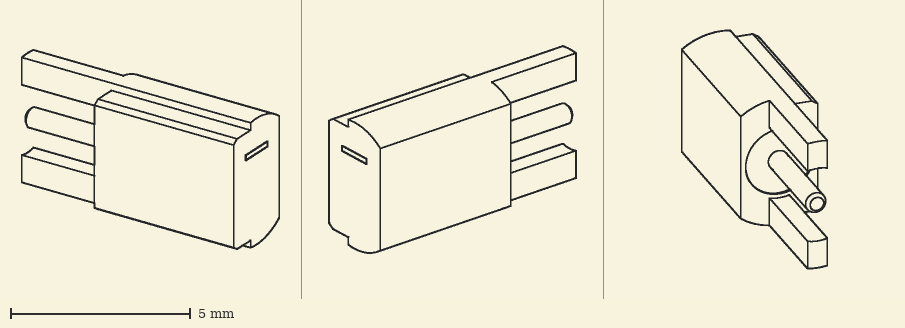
import cadquery as cq
import math


body_length = 4.65
body_depth = 2.3
body_radius = 1.95
front_height = 3.4
chamfer_depth = 0.18
chamfer_height = 0.12

recess_radius = 1.0
recess_depth = 0.07

tail_length = 3.0
tail_width = 0.59
tail_inner_radius = 1.12

pin_radius = 0.3
pin_chamfer = 0.1
pin_setback = 0.05

strip_width = 1.1
strip_height = 0.16
strip_thickness = 0.02
strip_center_y = 0.0
strip_center_z = 0.95

half_depth = body_depth / 2
half_front = front_height / 2
half_tail = tail_width / 2


def height_on_circle(radius, y):
    """Height above the pin axis of a circle of this radius at the given Y."""
    return math.sqrt(radius**2 - y**2)


def make_body():
    back_edge = height_on_circle(body_radius, half_depth)
    step_edge = height_on_circle(body_radius, half_tail)
    chamfer_start = half_depth - chamfer_depth
    chamfer_end = half_front - chamfer_height
    return (
        cq.Workplane("YZ")
        .moveTo(half_depth, -back_edge)
        .lineTo(half_depth, back_edge)
        .threePointArc((0, body_radius), (-half_tail, step_edge))
        .lineTo(-half_tail, half_front)
        .lineTo(-chamfer_start, half_front)
        .lineTo(-half_depth, chamfer_end)
        .lineTo(-half_depth, -chamfer_end)
        .lineTo(-chamfer_start, -half_front)
        .lineTo(-half_tail, -half_front)
        .lineTo(-half_tail, -step_edge)
        .threePointArc((0, -body_radius), (half_depth, -back_edge))
        .close()
        .extrude(body_length)
    )


def make_recess():
    return cq.Workplane("YZ").circle(recess_radius).extrude(recess_depth)


def make_tail(side):
    """Tail above (side = 1) or below (side = -1) the pin, curved inside and outside."""
    inner_edge = side * height_on_circle(tail_inner_radius, half_tail)
    outer_edge = side * height_on_circle(body_radius, half_tail)
    return (
        cq.Workplane("YZ")
        .moveTo(-half_tail, inner_edge)
        .lineTo(-half_tail, outer_edge)
        .threePointArc((0, side * body_radius), (half_tail, outer_edge))
        .lineTo(half_tail, inner_edge)
        .threePointArc((0, side * tail_inner_radius), (-half_tail, inner_edge))
        .close()
        .extrude(-tail_length)
    )


def make_pin():
    pin_tip_x = pin_setback - tail_length
    return (
        cq.Workplane("YZ", origin=(pin_tip_x, 0, 0))
        .circle(pin_radius)
        .extrude(recess_depth - pin_tip_x)
        .faces("<X")
        .chamfer(pin_chamfer)
    )


def make_strip():
    return (
        cq.Workplane("YZ", origin=(body_length, strip_center_y, strip_center_z))
        .rect(strip_width, strip_height)
        .extrude(strip_thickness)
    )


result = make_body().cut(make_recess())
for side in (1, -1):
    result = result.union(make_tail(side))
result = result.union(make_pin()).union(make_strip())